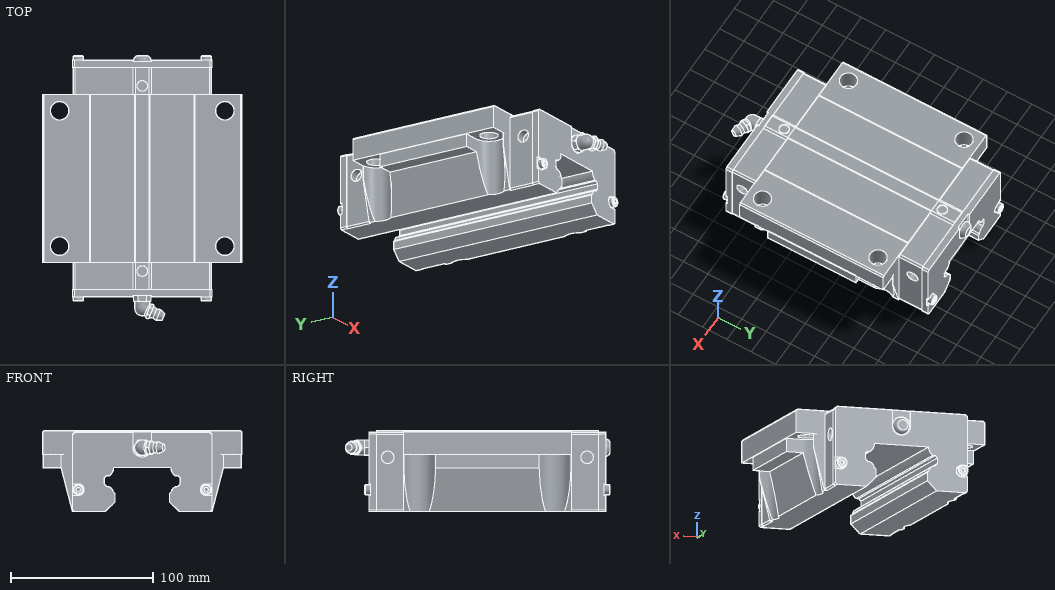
import cadquery as cq
import math

HEIGHT = 57.0
BODY_LENGTH = 118.0
FLANGE_WIDTH = 140.0
FLANGE_CHAMFER = 1.2
SPOTFACE_Z = 40.2
FLANGE_BOTTOM = 30.7
LOWER_FLANGE_STEP = 0.5
WEB_HALF_TOP = 57.0
WEB_HALF_BOTTOM = 49.0

HOLE_PITCH_X = 116.0
HOLE_PITCH_Y = 95.0
HOLE_DIAMETER = 12.8
SPOTFACE_RADIUS = 11.2

GROOVE_POSITIONS = (5.2, 36.6)
GROOVE_WIDTH = 0.6
GROOVE_DEPTH = 0.2

CAP_LENGTH = 19.0
CAP_WIDTH = 97.0
CAP_HEIGHT = 55.75
END_TOP_CHAMFER = 1.4
END_BOTTOM_CHAMFER = 1.2
PLATE_THICKNESS = 5.15
PLATE_WIDTH = 98.0
PLATE_HEIGHT = 55.9
STRIP_HEIGHT = 56.9
STRIP_HALF_TOP = 4.9
STRIP_HALF_BOTTOM = 6.6
OIL_PORT_Y = 65.0
OIL_PORT_DIAMETER = 7.4
OIL_PORT_DEPTH = 0.8
SIDE_PORT_Y = 70.0
SIDE_PORT_Z = 38.2
SIDE_PORT_DIAMETER = 8.8
SIDE_PORT_DEPTH = 7.0

RECESS_DEPTH = 1.15
SCREW_X = 44.9
SCREW_Z = 15.5
SCREW_RECESS_RADIUS = 4.1
SCREW_HEAD_RADIUS = 3.6
SCREW_HEAD_HEIGHT = 4.15
SCREW_HEAD_CHAMFER = 0.6
SOCKET_ACROSS_CORNERS = 3.6
SOCKET_DEPTH = 2.0
FITTING_Z = 45.0
FITTING_RECESS_RADIUS = 6.6

PLUG_RADIUS = 6.2
PLUG_SHOULDER = (5.7, 2.6)
PLUG_CROWN_RADIUS = 3.7
PLUG_HEIGHT = 4.15

NIPPLE_HEX_CORNERS = 12.5
NIPPLE_HEX_LENGTH = 4.3
HEX_CORNER_CHAMFER = 0.5
ELBOW_RADIUS = 5.35
ELBOW_LENGTH = 9.1
ARM_ANGLE = 22.5
COLLAR_CORNERS = 10.8
COLLAR_START = 4.5
COLLAR_END = 7.0
NECK_END = 9.6
NECK_RADIUS_START = 4.3
NECK_RADIUS_END = 3.55
BARB_END = 12.3
BARB_RADIUS = 4.2
TIP_END = 16.2
TIP_RADIUS = 2.5

RAIL_ROOF = (20.0, 31.0)
UPPER_RACE_MIDDLE = (20.9, 27.7)
UPPER_RACE_END = (23.1, 25.2)
SIDE_GROOVE = ((25.0, 25.2), (26.6, 23.6), (26.6, 19.6), (24.9, 17.8))
LOWER_RACE_MIDDLE = (21.6, 16.4)
LOWER_RACE_END = (20.3, 14.0)
LIP = ((19.1, 12.8), (19.1, 6.8), (26.0, 0.0))

BODY_END = BODY_LENGTH / 2
CAP_END = BODY_END + CAP_LENGTH
PLATE_END = CAP_END + PLATE_THICKNESS
RECESS_FLOOR = PLATE_END - RECESS_DEPTH
FULL_LENGTH = 2 * PLATE_END
SIDES = (-1, 1)


def end_plane(y, x=0.0, z=0.0, side=1):
    """Plane square to Y: local x along -side * X, local y along Z, normal along side * Y."""
    return cq.Plane(origin=(x, y, z), xDir=(-side, 0, 0), normal=(0, side, 0))


def along_y(sketch_points, start, end):
    """Extrude a closed polygon of (x, z) points between two Y positions."""
    return cq.Workplane(end_plane(start, side=-1)).polyline(sketch_points).close().extrude(start - end)


def mirrored(half):
    """Close a right-hand outline with its mirror image about x = 0."""
    return list(half) + [(-x, z) for x, z in reversed(half)]


def carriage_body():
    half_flange = FLANGE_WIDTH / 2
    lower_half = half_flange - LOWER_FLANGE_STEP
    outline = mirrored([
        (WEB_HALF_BOTTOM, 0),
        (WEB_HALF_TOP, FLANGE_BOTTOM),
        (lower_half, FLANGE_BOTTOM),
        (lower_half, SPOTFACE_Z),
        (half_flange, SPOTFACE_Z),
        (half_flange, HEIGHT - FLANGE_CHAMFER),
        (half_flange - FLANGE_CHAMFER, HEIGHT),
    ])
    return along_y(outline, -BODY_END, BODY_END)


def mounting_hole(side_x, side_y):
    """Bolt hole with a spotface that opens through the flange edge and body end."""
    x = HOLE_PITCH_X / 2
    y = HOLE_PITCH_Y / 2
    edge = FLANGE_WIDTH / 2
    hole = cq.Workplane().center(x, y).circle(HOLE_DIAMETER / 2).extrude(HEIGHT)
    spotface = cq.Workplane().center(x, y).circle(SPOTFACE_RADIUS).extrude(SPOTFACE_Z)
    opening = (
        cq.Workplane()
        .polyline([
            (x, y - SPOTFACE_RADIUS),
            (edge, y - SPOTFACE_RADIUS),
            (edge, BODY_END),
            (WEB_HALF_TOP, BODY_END),
            (WEB_HALF_TOP, y),
            (x, y),
        ])
        .close()
        .extrude(SPOTFACE_Z)
    )
    cutter = hole.union(spotface).union(opening)
    if side_x < 0:
        cutter = cutter.mirror("YZ")
    if side_y < 0:
        cutter = cutter.mirror("XZ")
    return cutter


def top_groove(x):
    half = GROOVE_WIDTH / 2
    outline = [(x - half, HEIGHT), (x, HEIGHT - GROOVE_DEPTH), (x + half, HEIGHT)]
    return along_y(outline, -BODY_END, BODY_END)


def chamfered_end(width, height, start, end):
    half = width / 2
    outline = mirrored([
        (half - END_BOTTOM_CHAMFER, 0),
        (half, END_BOTTOM_CHAMFER),
        (half, height - END_TOP_CHAMFER),
        (half - END_TOP_CHAMFER, height),
    ])
    return along_y(outline, start, end)


def end_cap(side):
    """Cap, end plate and raised strip at one end of the body."""
    cap = chamfered_end(CAP_WIDTH, CAP_HEIGHT, side * BODY_END, side * CAP_END)
    plate = chamfered_end(PLATE_WIDTH, PLATE_HEIGHT, side * CAP_END, side * PLATE_END)
    strip_outline = mirrored([(STRIP_HALF_BOTTOM, CAP_HEIGHT), (STRIP_HALF_TOP, STRIP_HEIGHT)])
    strip = along_y(strip_outline, side * BODY_END, side * CAP_END)
    cap = cap.union(plate).union(strip)

    oil_port = (
        cq.Workplane(origin=(0, side * OIL_PORT_Y, STRIP_HEIGHT - OIL_PORT_DEPTH))
        .circle(OIL_PORT_DIAMETER / 2)
        .extrude(OIL_PORT_DEPTH)
    )
    cap = cap.cut(oil_port)
    for side_x in SIDES:
        side_port = (
            cq.Workplane("YZ", origin=(side_x * CAP_WIDTH / 2, side * SIDE_PORT_Y, SIDE_PORT_Z))
            .circle(SIDE_PORT_DIAMETER / 2)
            .extrude(-side_x * SIDE_PORT_DEPTH)
        )
        cap = cap.cut(side_port)
        cap = cap.cut(screw_recess(side_x, side))
    return cap.cut(fitting_recess(side))


def screw_recess(side_x, side):
    """Recess around a screw head, open to the side of the end plate."""
    run = PLATE_WIDTH / 2 - SCREW_X
    plane = end_plane(side * RECESS_FLOOR, side_x * SCREW_X, SCREW_Z, side)
    pocket = cq.Workplane(plane).circle(SCREW_RECESS_RADIUS).extrude(RECESS_DEPTH)
    opening = (
        cq.Workplane(plane)
        .center(-side * side_x * run / 2, 0)
        .rect(run, 2 * SCREW_RECESS_RADIUS)
        .extrude(RECESS_DEPTH)
    )
    return pocket.union(opening)


def fitting_recess(side):
    """Recess around a centre fitting, open to the top of the end plate."""
    run = PLATE_HEIGHT - FITTING_Z
    plane = end_plane(side * RECESS_FLOOR, 0, FITTING_Z, side)
    pocket = cq.Workplane(plane).circle(FITTING_RECESS_RADIUS).extrude(RECESS_DEPTH)
    opening = (
        cq.Workplane(plane)
        .center(0, run / 2)
        .rect(2 * FITTING_RECESS_RADIUS, run)
        .extrude(RECESS_DEPTH)
    )
    return pocket.union(opening)


def rail_half():
    """Half of the rail space, on the +X side of the centre plane."""
    sketch = cq.Workplane(end_plane(-PLATE_END, side=-1)).moveTo(0, RAIL_ROOF[1]).lineTo(*RAIL_ROOF)
    sketch = sketch.threePointArc(UPPER_RACE_MIDDLE, UPPER_RACE_END)
    for point in SIDE_GROOVE:
        sketch = sketch.lineTo(*point)
    sketch = sketch.threePointArc(LOWER_RACE_MIDDLE, LOWER_RACE_END)
    for point in LIP:
        sketch = sketch.lineTo(*point)
    return sketch.lineTo(0, 0).close().extrude(-FULL_LENGTH)


def rail_opening():
    half = rail_half()
    return half.union(half.mirror("YZ"))


def cap_screw(side_x, side):
    plane = end_plane(side * RECESS_FLOOR, side_x * SCREW_X, SCREW_Z, side)
    head = cq.Workplane(plane).circle(SCREW_HEAD_RADIUS).extrude(SCREW_HEAD_HEIGHT)
    head = head.faces(">Y" if side > 0 else "<Y").chamfer(SCREW_HEAD_CHAMFER)
    socket = (
        cq.Workplane(plane)
        .workplane(offset=SCREW_HEAD_HEIGHT)
        .polygon(6, SOCKET_ACROSS_CORNERS)
        .extrude(-SOCKET_DEPTH)
    )
    return head.cut(socket)


def closing_plug():
    return (
        cq.Workplane("XY", origin=(0, RECESS_FLOOR, FITTING_Z))
        .lineTo(PLUG_RADIUS, 0)
        .threePointArc(PLUG_SHOULDER, (PLUG_CROWN_RADIUS, PLUG_HEIGHT))
        .lineTo(0, PLUG_HEIGHT)
        .close()
        .revolve(360, (0, 0), (0, 1))
    )


def hexagon(plane, corners, length):
    """Hexagonal prism with its corners chamfered at both ends."""
    rounding = cq.Workplane(plane).circle(corners / 2).extrude(length)
    rounding = rounding.edges("%CIRCLE").chamfer(HEX_CORNER_CHAMFER)
    return cq.Workplane(plane).polygon(6, corners).extrude(length).intersect(rounding)


def grease_nipple():
    base_plane = end_plane(-RECESS_FLOOR, 0, FITTING_Z, side=-1)
    base = hexagon(base_plane, NIPPLE_HEX_CORNERS, NIPPLE_HEX_LENGTH)
    barrel = cq.Workplane(base_plane).circle(ELBOW_RADIUS).extrude(ELBOW_LENGTH)
    elbow_centre = cq.Vector(0, -RECESS_FLOOR - ELBOW_LENGTH, FITTING_Z)
    elbow = cq.Workplane().sphere(ELBOW_RADIUS).translate(elbow_centre)

    angle = math.radians(ARM_ANGLE)
    arm_direction = cq.Vector(math.cos(angle), -math.sin(angle), 0)
    across_arm = cq.Vector(math.sin(angle), math.cos(angle), 0)
    collar_plane = cq.Plane(
        origin=elbow_centre + arm_direction * COLLAR_START, xDir=across_arm, normal=arm_direction
    )
    collar = hexagon(collar_plane, COLLAR_CORNERS, COLLAR_END - COLLAR_START)
    arm_plane = cq.Plane(origin=elbow_centre, xDir=arm_direction, normal=(0, 0, 1))
    arm = (
        cq.Workplane(arm_plane)
        .lineTo(0, NECK_RADIUS_START)
        .lineTo(COLLAR_END, NECK_RADIUS_START)
        .lineTo(NECK_END, NECK_RADIUS_END)
        .lineTo(BARB_END, BARB_RADIUS)
        .lineTo(TIP_END, TIP_RADIUS)
        .lineTo(TIP_END, 0)
        .close()
        .revolve(360, (0, 0), (1, 0))
    )
    return base.union(barrel).union(elbow).union(collar).union(arm)


result = carriage_body()
for side_x in SIDES:
    for side_y in SIDES:
        result = result.cut(mounting_hole(side_x, side_y))
    for position in GROOVE_POSITIONS:
        result = result.cut(top_groove(side_x * position))
for side in SIDES:
    result = result.union(end_cap(side))
result = result.cut(rail_opening())
for side in SIDES:
    for side_x in SIDES:
        result = result.union(cap_screw(side_x, side))
result = result.union(closing_plug()).union(grease_nipple())